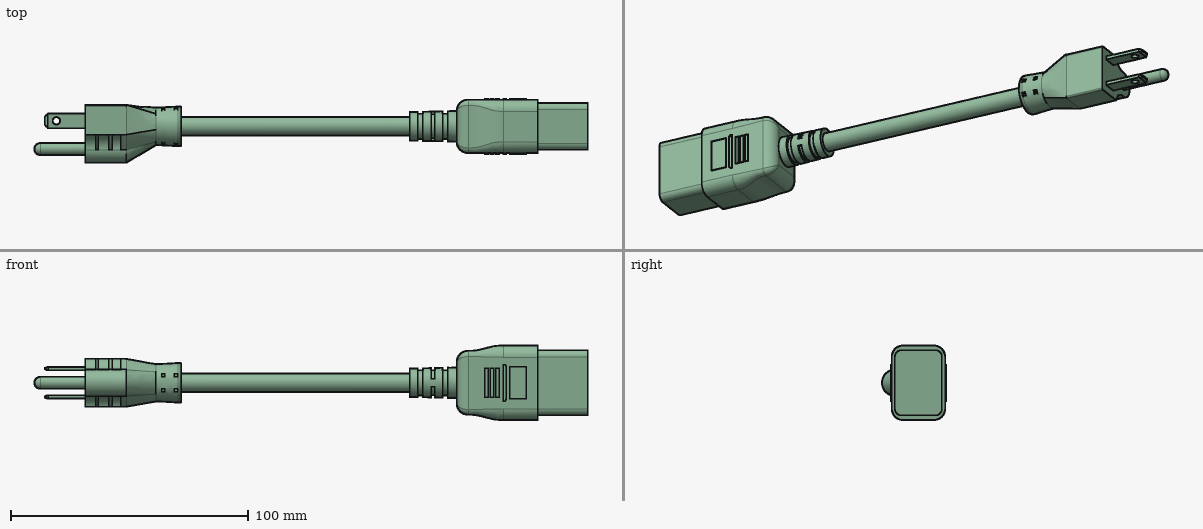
import cadquery as cq
import math


LENGTH = 233.5
PLUG_FACE_X = 21.5
PLUG_TAPER_X = 38.8
NECK_X = 51.4
CABLE_START_X = 62.0
CABLE_END_X = 158.3
HOUSING_X = 178.0
SHOULDER_X = 197.7
INSERT_X = 212.5

CABLE_DIAMETER = 8.0

PLUG_HEIGHT = 20.3
PLUG_BACK_Y = 9.0
PLUG_CORNER_RADIUS = 0.7
BEVEL_START_Y = -3.5
NOSE_Y = -9.8
NOSE_RADIUS = 5.5

GROUND_PIN_DIAMETER = 5.1
GROUND_PIN_Y = -9.5

BLADE_TIP_X = 4.5
BLADE_WIDTH = 6.3
BLADE_THICKNESS = 1.5
BLADE_SPACING = 12.0
BLADE_Y = 2.3
BLADE_CORNER = 1.5
BLADE_BEVEL_LENGTH = 1.2
BLADE_BEVEL_DEPTH = 0.5
BLADE_HOLE_X = 9.3
BLADE_HOLE_DIAMETER = 3.0

GRIP_SPANS = [(PLUG_FACE_X, 26.0), (27.0, 31.5), (33.0, 36.5)]
GRIP_DEPTH = 1.5

NECK_RADIUS = 8.0
NECK_CORNER_ANGLE = 48.0
NECK_BEVEL_ANGLE = 100.0
NECK_NOSE_ANGLE = 144.0
COLLAR_RADIUS = 8.5
COLLAR_ROUNDING = 0.7
COLLAR_X = 60.5
NECK_POCKET_XS = [54.5, 59.8]
NECK_POCKET_SIZE = 1.5
NECK_POCKET_SPACING = 6.3
NECK_POCKET_FLOOR_Y = 6.3

RELIEF_START_RADIUS = 6.0
RELIEF_END_RADIUS = 6.5
RELIEF_CORE_RADIUS = 5.4
RING_GROOVES = [(161.8, 163.9), (172.3, 174.4)]
SPLIT_GROOVE = (167.4, 169.0)
SPLIT_WEB_HEIGHT = 3.3

HOUSING_DEPTH = 22.6
REAR_HEIGHT = 27.0
FRONT_HEIGHT = 31.5
REAR_ROUNDING = 5.0
REAR_CORNER_RADIUS = 2.3
FRONT_CORNER_RADIUS = 5.0
FLARE_STEPS = 6

INSERT_DEPTH = 19.8
INSERT_HEIGHT = 27.5
INSERT_CORNER_RADIUS = 2.8

RAISED_DEPTH = 23.3
RIB_COUNT = 3
RIB_FIRST_X = 190.7
RIB_PITCH = 2.3
RIB_WIDTH = 1.5
RIB_HEIGHT = 12.4
WEDGE_LENGTH = 1.5
WEDGE_HEIGHT = 15.5
PAD_START_X = 200.5
PAD_LENGTH = 7.0
PAD_HEIGHT = 13.5


def yz_plane(x):
    """Cross-section plane at x whose local axes are the global Y and Z."""
    return cq.Workplane("YZ", origin=(x, 0, 0))


def rod(x_start, x_end, radius, y=0.0):
    return yz_plane(x_start).center(y, 0).circle(radius).extrude(x_end - x_start)


def block(x_start, x_end, depth, height, y=0.0, z=0.0):
    return yz_plane(x_start).center(y, z).rect(depth, height).extrude(x_end - x_start)


def make_cable():
    return rod(CABLE_START_X, CABLE_END_X, CABLE_DIAMETER / 2)


def plug_section(x):
    """Flat-backed section with bevels that lead to a round nose around the ground pin."""
    half = PLUG_HEIGHT / 2
    return (
        yz_plane(x)
        .moveTo(PLUG_BACK_Y, half)
        .lineTo(BEVEL_START_Y, half)
        .lineTo(NOSE_Y, NOSE_RADIUS)
        .threePointArc((NOSE_Y - NOSE_RADIUS, 0), (NOSE_Y, -NOSE_RADIUS))
        .lineTo(BEVEL_START_Y, -half)
        .lineTo(PLUG_BACK_Y, -half)
        .close()
    )


def neck_section(x):
    """Circle split into one arc for each side of the plug section."""
    angles = [NECK_CORNER_ANGLE, NECK_BEVEL_ANGLE, NECK_NOSE_ANGLE]
    angles += [360 - angle for angle in reversed(angles)]
    angles.append(360 + NECK_CORNER_ANGLE)

    def on_circle(angle):
        turn = math.radians(angle)
        return (NECK_RADIUS * math.cos(turn), NECK_RADIUS * math.sin(turn))

    outline = yz_plane(x).moveTo(*on_circle(angles[0]))
    for start, end in zip(angles, angles[1:]):
        outline = outline.threePointArc(on_circle((start + end) / 2), on_circle(end))
    return outline.close()


def grip_hollow(x_start, x_end, side):
    """Cutter that scoops the bevel on one side (+1 upper, -1 lower) with a concave arc."""
    half = PLUG_HEIGHT / 2
    rise = half - NOSE_RADIUS
    run = BEVEL_START_Y - NOSE_Y
    slope_length = math.hypot(rise, run)
    middle = (
        (BEVEL_START_Y + NOSE_Y) / 2 + GRIP_DEPTH * rise / slope_length,
        side * ((half + NOSE_RADIUS) / 2 - GRIP_DEPTH * run / slope_length),
    )
    return (
        yz_plane(x_start)
        .moveTo(BEVEL_START_Y, side * half)
        .threePointArc(middle, (NOSE_Y, side * NOSE_RADIUS))
        .lineTo(NOSE_Y, side * half)
        .close()
        .extrude(x_end - x_start)
    )


def make_blade(z):
    """Flat contact with clipped tip corners, a bevelled tip edge and a hole."""
    length = PLUG_FACE_X - BLADE_TIP_X
    half = BLADE_THICKNESS / 2
    outline = (
        block(BLADE_TIP_X, PLUG_FACE_X, BLADE_WIDTH, BLADE_THICKNESS, BLADE_Y, z)
        .edges("<X and |Z")
        .chamfer(BLADE_CORNER)
    )
    tapered_side = (
        cq.Workplane("XZ", origin=(BLADE_TIP_X, BLADE_Y, z))
        .moveTo(0, half - BLADE_BEVEL_DEPTH)
        .lineTo(BLADE_BEVEL_LENGTH, half)
        .lineTo(length, half)
        .lineTo(length, -half)
        .lineTo(BLADE_BEVEL_LENGTH, -half)
        .lineTo(0, BLADE_BEVEL_DEPTH - half)
        .close()
        .extrude(BLADE_WIDTH / 2, both=True)
    )
    hole = (
        cq.Workplane("XY", origin=(BLADE_HOLE_X, BLADE_Y, z))
        .circle(BLADE_HOLE_DIAMETER / 2)
        .extrude(BLADE_THICKNESS, both=True)
    )
    return outline.intersect(tapered_side).cut(hole)


def make_ground_pin():
    """Round pin with a hemispherical tip."""
    radius = GROUND_PIN_DIAMETER / 2
    tip = cq.Workplane("XY", origin=(radius, GROUND_PIN_Y, 0)).sphere(radius)
    return rod(radius, PLUG_FACE_X, radius, GROUND_PIN_Y).union(tip)


def make_neck():
    """Slightly flared round neck with pockets on both Y sides."""
    neck = (
        cq.Workplane("XY")
        .moveTo(NECK_X, 0)
        .lineTo(NECK_X, NECK_RADIUS)
        .lineTo(COLLAR_X, COLLAR_RADIUS)
        .lineTo(CABLE_START_X, COLLAR_RADIUS)
        .lineTo(CABLE_START_X, 0)
        .close()
        .revolve(360, (0, 0, 0), (1, 0, 0))
        .faces(">X")
        .edges()
        .fillet(COLLAR_ROUNDING)
    )
    half = NECK_POCKET_SIZE / 2
    depth = COLLAR_RADIUS - NECK_POCKET_FLOOR_Y
    for x in NECK_POCKET_XS:
        for y_side in (-1, 1):
            for z_side in (-1, 1):
                y = y_side * (NECK_POCKET_FLOOR_Y + depth / 2)
                z = z_side * NECK_POCKET_SPACING / 2
                neck = neck.cut(block(x - half, x + half, depth, NECK_POCKET_SIZE, y, z))
    return neck


def make_plug():
    body = plug_section(PLUG_FACE_X).extrude(PLUG_TAPER_X - PLUG_FACE_X)
    for x_start, x_end in GRIP_SPANS:
        for side in (-1, 1):
            body = body.cut(grip_hollow(x_start, x_end, side))
    taper_ends = [plug_section(PLUG_TAPER_X).val(), neck_section(NECK_X).val()]
    taper = cq.Workplane(cq.Solid.makeLoft(taper_ends, True))
    body = body.edges("|X and >Y").fillet(PLUG_CORNER_RADIUS)
    plug = body.union(taper).union(make_neck()).union(make_ground_pin())
    for side in (-1, 1):
        plug = plug.union(make_blade(side * BLADE_SPACING / 2))
    return plug


def make_strain_relief():
    """Tapered round sleeve with two full ring grooves and one split groove."""
    relief = (
        cq.Workplane("XY")
        .moveTo(CABLE_END_X, 0)
        .lineTo(CABLE_END_X, RELIEF_START_RADIUS)
        .lineTo(HOUSING_X, RELIEF_END_RADIUS)
        .lineTo(HOUSING_X, 0)
        .close()
        .revolve(360, (0, 0, 0), (1, 0, 0))
    )

    def ring(x_start, x_end):
        core = rod(x_start, x_end, RELIEF_CORE_RADIUS)
        return rod(x_start, x_end, RELIEF_END_RADIUS).cut(core)

    for x_start, x_end in RING_GROOVES:
        relief = relief.cut(ring(x_start, x_end))
    web = block(*SPLIT_GROOVE, 2 * RELIEF_END_RADIUS, SPLIT_WEB_HEIGHT)
    return relief.cut(ring(*SPLIT_GROOVE).cut(web))


def rounded_block(x_start, x_end, depth, height, radius):
    return block(x_start, x_end, depth, height).edges("|X").fillet(radius)


def make_rear_end(x_end):
    """Cable end of the housing: rolled-over front edges, then softened corners."""
    rear = block(HOUSING_X, SHOULDER_X, HOUSING_DEPTH, REAR_HEIGHT)
    rear = rear.faces("<X").edges().fillet(REAR_ROUNDING)
    corners = rear.edges("|X").add(rear.edges("%ELLIPSE"))
    rear = corners.fillet(REAR_CORNER_RADIUS)
    return rear.intersect(block(HOUSING_X, x_end, HOUSING_DEPTH, REAR_HEIGHT))


def make_flare(x_start, x_end):
    """S-curved growth in height from the rear end to the shoulder."""
    sections = []
    for step in range(FLARE_STEPS + 1):
        travel = step / FLARE_STEPS
        blend = travel**3 * (10 - 15 * travel + 6 * travel**2)
        height = REAR_HEIGHT + blend * (FRONT_HEIGHT - REAR_HEIGHT)
        radius = REAR_CORNER_RADIUS + blend * (FRONT_CORNER_RADIUS - REAR_CORNER_RADIUS)
        section = cq.Sketch().rect(HOUSING_DEPTH, height).vertices().fillet(radius)
        sections.append(section.moved(cq.Location(cq.Vector(0, 0, travel * (x_end - x_start)))))
    return yz_plane(x_start).placeSketch(*sections).loft()


def make_grip_marks():
    """Raised ribs, wedge and pad that stand out on both Y sides of the housing."""
    marks = block(PAD_START_X, PAD_START_X + PAD_LENGTH, RAISED_DEPTH, PAD_HEIGHT)
    for index in range(RIB_COUNT):
        x = RIB_FIRST_X + index * RIB_PITCH
        marks = marks.add(block(x - RIB_WIDTH / 2, x + RIB_WIDTH / 2, RAISED_DEPTH, RIB_HEIGHT))
    wedge = (
        block(SHOULDER_X, SHOULDER_X + WEDGE_LENGTH, RAISED_DEPTH, WEDGE_HEIGHT)
        .edges(">X and |Y")
        .chamfer(WEDGE_LENGTH / 2)
    )
    return marks.add(wedge)


def make_connector():
    flare_x = HOUSING_X + REAR_ROUNDING
    front = rounded_block(SHOULDER_X, INSERT_X, HOUSING_DEPTH, FRONT_HEIGHT, FRONT_CORNER_RADIUS)
    insert = rounded_block(INSERT_X, LENGTH, INSERT_DEPTH, INSERT_HEIGHT, INSERT_CORNER_RADIUS)
    connector = make_rear_end(flare_x).union(make_flare(flare_x, SHOULDER_X))
    connector = connector.union(front).union(insert).union(make_strain_relief())
    for mark in make_grip_marks().vals():
        connector = connector.union(cq.Workplane(mark))
    return connector


plug = make_plug()
cable = make_cable()
connector = make_connector()

result = cq.Compound.makeCompound([plug.solids().val(), cable.val(), connector.solids().val()])